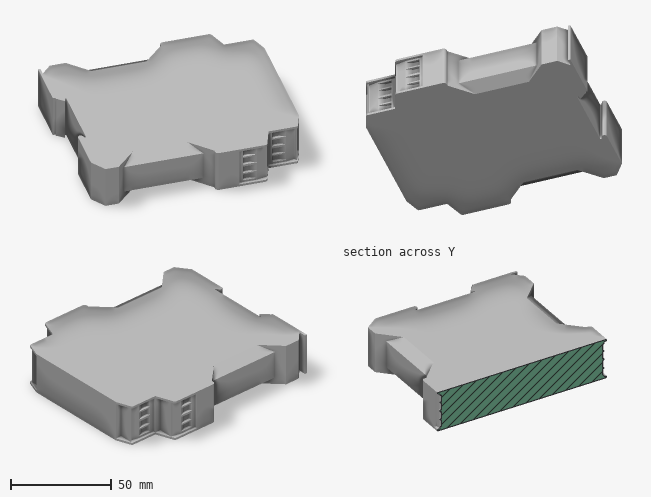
import cadquery as cq
import math


width = 99.0
height = 113.6
thickness = 22.6

shoulder_x = width / 2
head_x = 38.8
front_x = 30.1
flank_slope = math.tan(math.radians(20))
head_y = height - (head_x - front_x) * flank_slope
step_y = 95.1
shoulder_top_y = step_y - (shoulder_x - head_x) * flank_slope
shoulder_bottom_y = 64.5
head_corner_radius = 1.0
shoulder_corner_radius = 1.5
shoulder_bottom_radius = 1.7

waist_top_x = 46.8
waist_x = 36.0
waist_top_y = shoulder_bottom_y - (waist_top_x - waist_x)
waist_bottom_y = 25.2
base_x = 46.4
base_top_y = waist_bottom_y - (base_x - waist_x)

base_bottom_y = 2.5
left_corner_y = 6.5
left_foot_y = 1.3
left_foot_outer_x = -41.0
right_corner_x = 38.9
right_corner_y = 7.9
slot_floor_y = 6.4
slot_left_x = -18.0
slot_right_x = 17.4
lip_x = 15.2
lip_corner = 0.8
lip_tip_y = 4.45
lip_root_y = 5.8

clip_outer_x = -45.2
clip_inner_x = -19.2
clip_root_x = -17.3
hook_base_x = -18.4
hook_x = -15.1
hook_y = 5.2
hook_root_y = 5.9

block_x = 42.4
block_face_thickness = 15.0

side_wall = 1.2
recess_height = thickness - 2 * side_wall
ledge_depth = 2.4
face_depth = 1.4
upper_ledge_y = 110.2
upper_slope_top_y = 109.2
upper_slope_end_y = 104.7
ridge_depth = 1.3
ridge_height = 0.5
lower_ledge_y = 91.8
lower_slope_top_y = 91.0
lower_slope_end_y = 86.2
lower_recess_bottom_y = 76.8

inner_pocket = (2.6, 4.0)
outer_pocket = (7.2, 3.6)
pocket_ramp_length = 3.3
pocket_floor_length = 3.2
pocket_end_length = 0.8
pocket_depth = 1.6


def prism(points, prism_thickness, centre_z=0.0):
    """Extrude a closed XY outline symmetrically about centre_z."""
    plane = cq.Workplane("XY", origin=(0, 0, centre_z))
    return plane.polyline(points).close().extrude(prism_thickness / 2, both=True)


def mirrored_pair(solid):
    """Join a left-hand solid with its mirror image on the right."""
    return solid.union(solid.mirror("YZ"))


def housing():
    right_side = [
        (front_x, height),
        (head_x, head_y),
        (head_x, step_y),
        (shoulder_x, shoulder_top_y),
        (shoulder_x, shoulder_bottom_y),
        (waist_top_x, shoulder_bottom_y),
        (waist_x, waist_top_y),
        (waist_x, waist_bottom_y),
        (base_x, base_top_y),
    ]
    underside = [
        (base_x, right_corner_y),
        (right_corner_x, base_bottom_y),
        (lip_x + lip_corner, base_bottom_y),
        (lip_x, base_bottom_y + lip_corner),
        (lip_x, lip_tip_y),
        (slot_right_x, lip_root_y),
        (slot_right_x, slot_floor_y),
        (slot_left_x, slot_floor_y),
        (slot_left_x, left_foot_y),
        (left_foot_outer_x, left_foot_y),
        (-base_x, left_corner_y),
    ]
    left_side = [(-x, y) for x, y in reversed(right_side)]
    body = prism(right_side + underside + left_side, thickness)

    rounded_corners = [
        (head_x, head_y, head_corner_radius),
        (shoulder_x, shoulder_top_y, shoulder_corner_radius),
        (shoulder_x, shoulder_bottom_y, shoulder_bottom_radius),
    ]
    for x, y, radius in rounded_corners:
        for side in (-1, 1):
            corner = cq.selectors.NearestToPointSelector((side * x, y, 0))
            body = body.edges("|Z").edges(corner).fillet(radius)
    return body


def rail_clip():
    """Foot plate under the left base with a hook reaching into the rail slot."""
    outline = [
        (clip_outer_x, 0),
        (clip_inner_x, 0),
        (clip_inner_x, left_foot_y),
        (hook_base_x, left_foot_y),
        (hook_x, hook_y),
        (clip_root_x, hook_root_y),
        (clip_root_x, slot_floor_y),
        (slot_left_x, slot_floor_y),
        (slot_left_x, base_bottom_y),
        (left_foot_outer_x, base_bottom_y),
        (left_foot_outer_x, left_foot_y),
        (clip_outer_x, left_foot_y),
    ]
    return prism(outline, thickness)


def side_blocks():
    """Bevelled bar across the waist, closed off by the sloping shoulders and base."""
    overhang = block_x - waist_x
    bottom_y = waist_bottom_y - overhang
    top_y = waist_top_y + overhang
    section = [
        (-waist_x, thickness / 2),
        (waist_x, thickness / 2),
        (block_x, block_face_thickness / 2),
        (block_x, -block_face_thickness / 2),
        (waist_x, -thickness / 2),
        (-waist_x, -thickness / 2),
        (-block_x, -block_face_thickness / 2),
        (-block_x, block_face_thickness / 2),
    ]
    start = cq.Workplane("XZ", origin=(0, bottom_y, 0))
    return start.polyline(section).close().extrude(bottom_y - top_y)


def terminal_recess(side_x, back_x, top_y, ledge_y, slope_top_y, slope_end_y, bottom_y):
    """Cutter for one left-hand terminal, leaving the terminal block set back between the side walls."""
    face_x = face_depth - side_x
    outline = [
        (-side_x, top_y),
        (-back_x, top_y),
        (-back_x, ledge_y),
        (ledge_depth - side_x, ledge_y),
        (ledge_depth - side_x, slope_top_y),
        (face_x, slope_end_y),
        (face_x, bottom_y),
        (-side_x, bottom_y),
    ]
    cutter = prism(outline, recess_height)

    ramp_end_y = slope_end_y - pocket_ramp_length
    floor_end_y = ramp_end_y - pocket_floor_length
    pocket = [
        (face_x, slope_end_y),
        (face_x + pocket_depth, ramp_end_y),
        (face_x + pocket_depth, floor_end_y),
        (face_x, floor_end_y - pocket_end_length),
    ]
    for centre_z, pocket_height in (inner_pocket, outer_pocket):
        for side in (-1, 1):
            cutter = cutter.union(prism(pocket, pocket_height, side * centre_z))
    return cutter


def ledge_ridge():
    """Thin left-hand ridge along the outer edge of the upper terminal ledge."""
    root_x = ledge_depth - head_x
    tip_x = ridge_depth - head_x
    ridge_bottom_y = upper_ledge_y - ridge_height
    outline = [
        (root_x, upper_ledge_y),
        (tip_x, upper_ledge_y),
        (tip_x, ridge_bottom_y),
        (root_x, ridge_bottom_y),
    ]
    return prism(outline, recess_height)


upper_recess = terminal_recess(
    head_x, front_x, height, upper_ledge_y, upper_slope_top_y, upper_slope_end_y, step_y
)
upper_recess = upper_recess.cut(ledge_ridge())
lower_recess = terminal_recess(
    shoulder_x, head_x, step_y, lower_ledge_y, lower_slope_top_y, lower_slope_end_y, lower_recess_bottom_y
)

result = housing().union(side_blocks()).union(rail_clip())
result = result.cut(mirrored_pair(upper_recess)).cut(mirrored_pair(lower_recess))